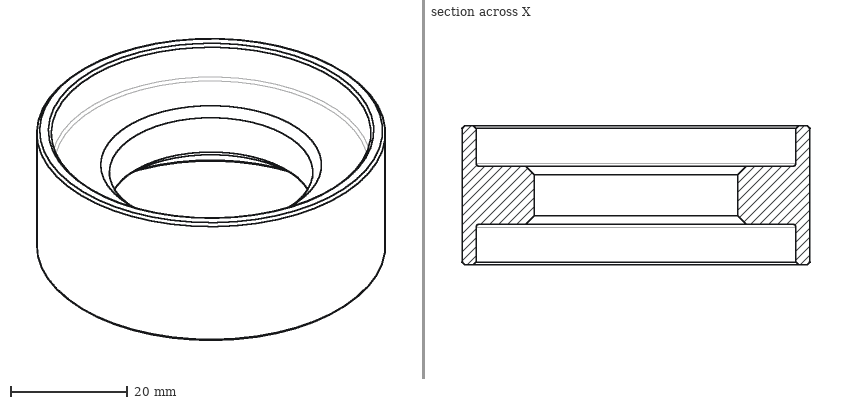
import cadquery as cq

outer_radius = 30.0
height = 24.0
edge_chamfer = 0.5

recess_radius = 27.5
recess_depth = 7.0
recess_rim_chamfer = 0.5
recess_floor_fillet = 0.5

hole_radius = 17.5
hole_chamfer = 1.5

mid_z = height / 2
floor_z = height - recess_depth


def ring_body():
    """Solid disc with both outer edges chamfered."""
    disc = cq.Workplane("XY").circle(outer_radius).extrude(height)
    return disc.faces("<Z or >Z").edges().chamfer(edge_chamfer)


def flare(radius, size, top_z):
    """Cone that opens upward at 45 degrees, ending at top_z."""
    profile = [
        (0, top_z - size),
        (radius, top_z - size),
        (radius + size, top_z),
        (0, top_z),
    ]
    return cq.Workplane("XZ").polyline(profile).close().revolve(360, (0, 0, 0), (0, 1, 0))


def upper_recess():
    """Round recess with a filleted floor corner and a chamfered rim."""
    pocket = cq.Workplane("XY").workplane(offset=floor_z).circle(recess_radius).extrude(recess_depth)
    pocket = pocket.faces("<Z").edges().fillet(recess_floor_fillet)
    return pocket.union(flare(recess_radius, recess_rim_chamfer, height))


def upper_opening():
    """Everything removed above mid-height: the recess and the chamfer of the hole."""
    return upper_recess().union(flare(hole_radius, hole_chamfer, floor_z))


def through_hole():
    """Straight bore through the web."""
    return cq.Workplane("XY").circle(hole_radius).extrude(height)


opening = upper_opening()
lower_opening = opening.mirror("XY", (0, 0, mid_z))
result = ring_body().cut(through_hole()).cut(opening).cut(lower_opening)